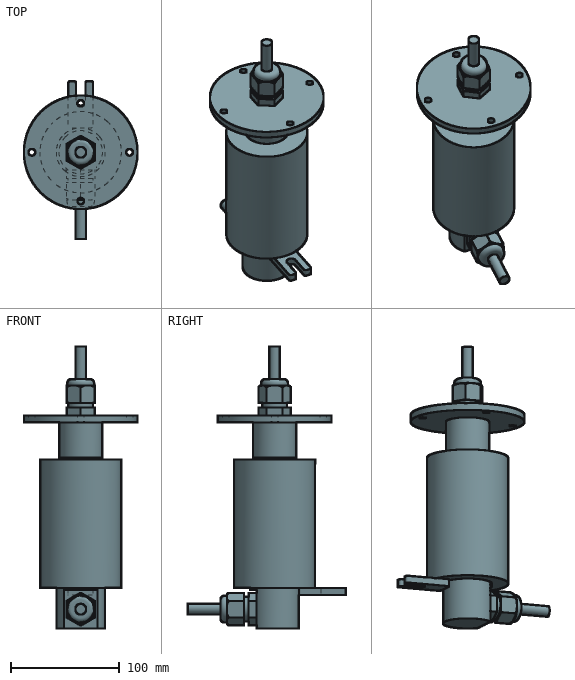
import cadquery as cq
import math

boss_d = 45.0
boss_height = 37.5
flat_offset = 16.5
flat_height = 35.5
side_gland_z = 18.0

body_d = 75.0
body_height = 118.5
gap_neck_d = 24.0
gap_height = 1.5
collar_d = 40.0
collar_height = 32.5

flange_d = 105.0
flange_thickness = 6.5
bolt_circle_d = 90.0
bolt_hole_d = 6.0
bolt_hole_count = 4

hex_across_flats = 26.0
base_hex_length = 7.5
gland_neck_d = 23.0
gland_neck_length = 4.0
nut_length = 16.0
nut_face_d = 27.0
nut_chamfer_angle = 45.0
cap_d = 25.0
cap_length = 6.0
cap_rounding = 4.0
cable_d = 10.0
cable_length = 30.0

fork_start = boss_d / 2
fork_reach = 65.6
fork_width = 23.0
fork_slot_width = 8.5
fork_slot_root = 43.0
fork_thickness = 6.5
fork_rounding = 2.0

body_top = boss_height + body_height
collar_bottom = body_top + gap_height
flange_bottom = collar_bottom + collar_height
flange_top = flange_bottom + flange_thickness


def cylinder(diameter, bottom, height):
    return cq.Workplane("XY").workplane(offset=bottom).circle(diameter / 2).extrude(height)


def hexagon(bottom, height):
    """Hexagonal prism on the Z axis with its corners pointing along +Y and -Y."""
    across_corners = hex_across_flats / math.cos(math.radians(30))
    prism = cq.Workplane("XY").polygon(6, across_corners).extrude(height)
    return prism.rotate((0, 0, 0), (0, 0, 1), 30).translate((0, 0, bottom))


def clamping_nut(bottom):
    """Hexagonal nut whose upper corners are trimmed by a cone."""
    face_radius = nut_face_d / 2
    outer_radius = hex_across_flats
    cone_drop = (outer_radius - face_radius) * math.tan(math.radians(nut_chamfer_angle))
    envelope = (
        cq.Workplane("XZ")
        .moveTo(0, nut_length)
        .lineTo(face_radius, nut_length)
        .lineTo(outer_radius, nut_length - cone_drop)
        .lineTo(outer_radius, 0)
        .lineTo(0, 0)
        .close()
        .revolve(360, (0, 0, 0), (0, 1, 0))
        .translate((0, 0, bottom))
    )
    return hexagon(bottom, nut_length).intersect(envelope)


def cable_gland():
    """Gland with cable, standing on Z = 0 and pointing along +Z."""
    nut_bottom = base_hex_length + gland_neck_length
    cap_bottom = nut_bottom + nut_length
    cap_top = cap_bottom + cap_length
    gland = hexagon(0, base_hex_length)
    gland = gland.union(cylinder(gland_neck_d, base_hex_length, gland_neck_length))
    gland = gland.union(clamping_nut(nut_bottom))
    cap = cylinder(cap_d, cap_bottom, cap_length).faces(">Z").edges().fillet(cap_rounding)
    gland = gland.union(cap)
    return gland.union(cylinder(cable_d, cap_top, cable_length))


def lower_boss():
    boss = cylinder(boss_d, 0, boss_height)
    cutter = cq.Workplane("XY").box(boss_d, boss_d, flat_height, centered=(True, False, False))
    return boss.cut(cutter.translate((0, -flat_offset - boss_d, 0)))


def flange():
    holes = (
        cq.Workplane("XY")
        .workplane(offset=flange_bottom)
        .polarArray(bolt_circle_d / 2, 0, 360, bolt_hole_count)
        .circle(bolt_hole_d / 2)
        .extrude(flange_thickness)
    )
    return cylinder(flange_d, flange_bottom, flange_thickness).cut(holes)


def fork():
    """Flat plate under the body, reaching along +Y, with a round-ended slot open at its tip."""
    slot_radius = fork_slot_width / 2
    slot_centre_y = fork_slot_root + slot_radius
    plate = (
        cq.Workplane("XY")
        .box(fork_width, fork_reach - fork_start, fork_thickness, centered=(True, False, False))
        .translate((0, fork_start, 0))
    )
    slot = (
        cq.Workplane("XY")
        .moveTo(-slot_radius, fork_reach)
        .lineTo(-slot_radius, slot_centre_y)
        .threePointArc((0, fork_slot_root), (slot_radius, slot_centre_y))
        .lineTo(slot_radius, fork_reach)
        .close()
        .extrude(fork_thickness)
    )
    corners = plate.cut(slot).faces("<Y or >Y").edges("|Z")
    return corners.fillet(fork_rounding).translate((0, 0, boss_height - fork_thickness))


top_gland = cable_gland().translate((0, 0, flange_top))
side_gland = (
    cable_gland()
    .rotate((0, 0, 0), (1, 0, 0), 90)
    .translate((0, -flat_offset, side_gland_z))
)

result = lower_boss()
result = result.union(cylinder(body_d, boss_height, body_height))
result = result.union(cylinder(gap_neck_d, body_top, gap_height))
result = result.union(cylinder(collar_d, collar_bottom, collar_height))
result = result.union(flange())
result = result.union(fork())
result = result.union(top_gland)
result = result.union(side_gland)